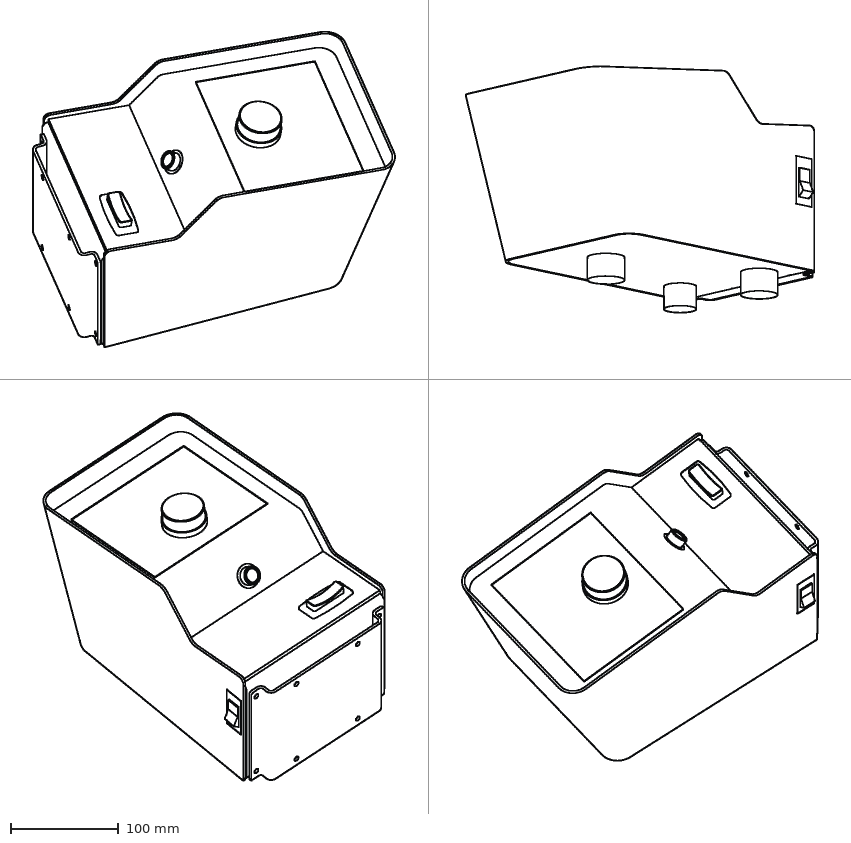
import cadquery as cq
import math


top_slope = math.radians(7.4)
step_slope = math.radians(46.8)
back_lean = math.radians(18.9)

shell_width = 176.0
sheet = 2.5
shell_bottom_depth = 238.5
shell_back_top_z = 215.5
back_corner_radius = 18.2
shell_valley_y, shell_valley_z = 71.0, 128.7
shell_fold_y = 112.5
shell_fold_radius = 10.0
shell_front_radius = 5.5

inner_width = shell_width - 2 * sheet
chassis_front_y = -2.2
chassis_valley_y, chassis_valley_z = 83.0, 121.5
chassis_fold_y = 113.3
chassis_fold_radius = 6.8
lip_height = 4.0
front_bend_radius = 6.0

screen_width = 140.0
screen_front_y, screen_back_y = 143.0, 259.8
screen_depth = 1.0
knob_y = 180.5
collar_radius, collar_height = 21.2, 5.2
knob_radius, knob_height = 20.0, 18.5
knob_edge = 1.0

button_x, button_y = 4.0, 96.5
button_flange_radius, button_flange_height = 11.5, 0.3
button_radius, button_height = 8.5, 8.5
button_chamfer = 0.5
button_dish_radius, button_dish_depth = 6.5, 1.2

bezel_x, bezel_y = 41.5, 30.0
bezel_length, bezel_end_width, bezel_mid_width = 50.5, 21.5, 25.2
bezel_height = 2.5
bezel_corner_radius = 2.5
bezel_edge_radius = 2.0
rocker_offset = -0.5
rocker_length, rocker_width = 37.5, 12.3
rocker_end_height, rocker_mid_height = 10.0, 5.5
rocker_corner_radius = 2.2
rocker_edge = 0.5

window_y, window_width = 13.2, 19.7
window_bottom_z, window_top_z = 60.0, 105.5
window_recess = 0.3
lever_width = 13.0
lever_bottom_z, lever_tip_z, lever_bend_z, lever_top_z = 67.5, 72.5, 82.2, 94.8
lever_rest, lever_reach = 1.0, 5.5

foot_height = 21.5
foot_places = [(-47.7, 32.3, 17.2), (46.2, 44.0, 15.0), (5.2, 178.2, 17.2)]

bracket_x = 0.3
bracket_sheet = 2.8
bracket_height = 118.5
bracket_front_y = -18.2
bracket_half_width = 82.8
bracket_leg_x = 70.5
web_bend_radius = 6.2
flange_bend_radius = 2.8
flange_corner_radius = 3.0
hole_diameter = 5.0
hole_low_z, hole_high_z = 8.5, 110.2
flange_hole_x, web_hole_x = 76.5, 38.2


def back_y(z, wall=0.0):
    """Y of the leaning back at height z, moved inwards by the wall thickness."""
    return shell_bottom_depth - wall / math.cos(back_lean) + z * math.tan(back_lean)


def lower_panel_z(y):
    return chassis_valley_z + (chassis_valley_y - y) * math.tan(top_slope)


def step_panel_z(y):
    return chassis_valley_z + (y - chassis_valley_y) * math.tan(step_slope)


def upper_panel_z(y):
    return step_panel_z(chassis_fold_y) - (y - chassis_fold_y) * math.tan(top_slope)


def panel_workplane(x, y, z, normal_angle):
    """Workplane on a panel whose normal leans back by normal_angle from vertical."""
    normal = (0, math.sin(normal_angle), math.cos(normal_angle))
    return cq.Workplane(cq.Plane(origin=(x, y, z), xDir=(1, 0, 0), normal=normal))


def side_prism(outline, width):
    return outline.close().extrude(width / 2, both=True)


def round_edge(body, y, z, radius):
    """Fillet the edge along X nearest to the given point."""
    return body.edges(cq.selectors.NearestToPointSelector((0, y, z))).fillet(radius)


def make_interior():
    """Space inside the shell, open at the front, top and bottom."""
    beyond = 30.8
    outline = cq.Workplane("YZ").polyline([
        (-beyond, -beyond),
        (back_y(-beyond, sheet), -beyond),
        (back_y(shell_back_top_z, sheet), shell_back_top_z),
        (-beyond, shell_back_top_z),
    ])
    prism = side_prism(outline, inner_width)
    return prism.faces(">Y").edges("not |X").fillet(back_corner_radius - sheet)


def switch_window(inset):
    """Block filling the window in the left wall, its outer face set in by inset."""
    height = window_top_z - window_bottom_z
    block = cq.Workplane("XY").box(sheet - inset, window_width, height, centered=(False, True, False))
    return block.translate((-shell_width / 2 + inset, window_y, window_bottom_z))


def make_shell(interior):
    tan_top = math.tan(top_slope)
    front_z = shell_valley_z + shell_valley_y * tan_top
    fold_z = shell_valley_z + (shell_fold_y - shell_valley_y) * math.tan(step_slope)
    back_z = (fold_z - (back_y(0) - shell_fold_y) * tan_top) / (1 + math.tan(back_lean) * tan_top)
    outline = cq.Workplane("YZ").polyline([
        (0, 0),
        (back_y(0), 0),
        (back_y(back_z), back_z),
        (shell_fold_y, fold_z),
        (shell_valley_y, shell_valley_z),
        (0, front_z),
    ])
    body = side_prism(outline, shell_width)
    body = round_edge(body, 0, front_z, shell_front_radius)
    body = round_edge(body, shell_valley_y, shell_valley_z, shell_fold_radius)
    body = round_edge(body, shell_fold_y, fold_z, shell_fold_radius)
    body = body.faces(">Y").edges("not |X").fillet(back_corner_radius)
    return body.cut(interior).cut(switch_window(0))


def make_case(interior):
    """Main block of the chassis, with its stepped top and rounded front."""
    bend_y = chassis_front_y + front_bend_radius
    lip_y = bend_y + lip_height * math.sin(top_slope)
    lip_z = lower_panel_z(lip_y)
    bend_top_z = lip_z - lip_height * math.cos(top_slope)
    back_z = upper_panel_z(back_y(shell_back_top_z))
    diagonal = front_bend_radius * math.sqrt(0.5)
    outline = (
        cq.Workplane("YZ")
        .moveTo(bend_y, 0)
        .lineTo(back_y(0), 0)
        .lineTo(back_y(shell_back_top_z), back_z)
        .lineTo(chassis_fold_y, step_panel_z(chassis_fold_y))
        .lineTo(chassis_valley_y, chassis_valley_z)
        .lineTo(lip_y, lip_z)
        .lineTo(bend_y, bend_top_z)
        .threePointArc(
            (bend_y - diagonal, bend_top_z - front_bend_radius + diagonal),
            (chassis_front_y, bend_top_z - front_bend_radius),
        )
        .lineTo(chassis_front_y, front_bend_radius)
        .threePointArc((bend_y - diagonal, front_bend_radius - diagonal), (bend_y, 0))
    )
    body = side_prism(outline, inner_width)
    body = round_edge(body, chassis_fold_y, step_panel_z(chassis_fold_y), chassis_fold_radius)
    return body.intersect(interior)


def screen_recess():
    middle_y = (screen_front_y + screen_back_y) / 2
    length = (screen_back_y - screen_front_y) / math.cos(top_slope)
    plane = panel_workplane(0, middle_y, upper_panel_z(middle_y), top_slope)
    return plane.rect(screen_width, length).extrude(-screen_depth)


def make_knob():
    plane = panel_workplane(0, knob_y, upper_panel_z(knob_y), top_slope)
    base = plane.workplane(offset=-screen_depth)
    collar = base.circle(collar_radius).extrude(collar_height + screen_depth)
    grip = base.circle(knob_radius).extrude(knob_height + screen_depth)
    return collar.union(grip.faces(">Z").edges().chamfer(knob_edge))


def make_button():
    plane = panel_workplane(button_x, button_y, step_panel_z(button_y), -step_slope)
    flange = plane.circle(button_flange_radius).extrude(button_flange_height)
    cap = plane.circle(button_radius).extrude(button_height)
    cap = cap.faces(cq.selectors.DirectionMinMaxSelector(plane.plane.zDir)).edges().chamfer(button_chamfer)
    dish = plane.workplane(offset=button_height).circle(button_dish_radius).extrude(-button_dish_depth)
    return flange.union(cap.cut(dish))


def make_bezel(plane):
    """Low frame with bowed long sides and a rounded top edge."""
    upwards = plane.plane.zDir
    half = bezel_length / 2
    end = bezel_end_width / 2
    mid = bezel_mid_width / 2
    body = (
        plane.moveTo(-half, -end)
        .threePointArc((0, -mid), (half, -end))
        .lineTo(half, end)
        .threePointArc((0, mid), (-half, end))
        .close()
        .extrude(bezel_height)
    )
    body = body.edges(cq.selectors.ParallelDirSelector(upwards)).fillet(bezel_corner_radius)
    top = body.faces(cq.selectors.DirectionMinMaxSelector(upwards))
    return top.edges().fillet(bezel_edge_radius)


def make_rocker(plane):
    """Rocker with a hollowed top; its outline has x along its length and y up from the panel."""
    upwards = plane.plane.zDir
    origin = plane.plane.toWorldCoords((rocker_offset, 0, 0))
    half = rocker_length / 2
    body = (
        cq.Workplane(cq.Plane(origin, plane.plane.xDir, -plane.plane.yDir))
        .moveTo(-half, 0)
        .lineTo(half, 0)
        .lineTo(half, rocker_end_height)
        .threePointArc((0, rocker_mid_height), (-half, rocker_end_height))
        .close()
        .extrude(rocker_width / 2, both=True)
    )
    body = body.edges(cq.selectors.ParallelDirSelector(upwards)).fillet(rocker_corner_radius)
    curved_faces = body.faces("not %PLANE")
    return curved_faces.faces(cq.selectors.DirectionMinMaxSelector(upwards)).edges().chamfer(rocker_edge)


def make_rocker_switch():
    plane = panel_workplane(bezel_x, bezel_y, lower_panel_z(bezel_y), top_slope)
    return make_bezel(plane).union(make_rocker(plane))


def make_lever_switch():
    plate_x = -shell_width / 2 + window_recess
    wall_x = -shell_width / 2
    lever = (
        cq.Workplane("XZ", origin=(0, window_y, 0))
        .polyline([
            (plate_x, lever_bottom_z),
            (wall_x - lever_reach, lever_tip_z),
            (wall_x - lever_rest, lever_bend_z),
            (wall_x - lever_rest, lever_top_z),
            (plate_x, lever_top_z),
        ])
        .close()
        .extrude(lever_width / 2, both=True)
    )
    return switch_window(window_recess).union(lever)


def make_foot(x, y, radius):
    return cq.Workplane("XY").center(x, y).circle(radius).extrude(-foot_height)


def make_chassis(interior):
    body = make_case(interior).cut(screen_recess())
    body = body.union(make_knob()).union(make_button())
    body = body.union(make_rocker_switch()).union(make_lever_switch())
    for x, y, radius in foot_places:
        body = body.union(make_foot(x, y, radius))
    return body


def make_bracket():
    flange_front_y = chassis_front_y - bracket_sheet
    web_back_y = bracket_front_y + bracket_sheet
    leg_inner_x = bracket_leg_x - bracket_sheet
    web_inner_radius = web_bend_radius - bracket_sheet
    flange_back_radius = flange_bend_radius + bracket_sheet
    flange_bend_x = bracket_leg_x + flange_bend_radius
    web_bend_x = bracket_leg_x - web_bend_radius
    body = (
        cq.Workplane("XY")
        .moveTo(0, bracket_front_y)
        .lineTo(web_bend_x, bracket_front_y)
        .radiusArc((bracket_leg_x, bracket_front_y + web_bend_radius), -web_bend_radius)
        .lineTo(bracket_leg_x, flange_front_y - flange_bend_radius)
        .radiusArc((flange_bend_x, flange_front_y), flange_bend_radius)
        .lineTo(bracket_half_width, flange_front_y)
        .lineTo(bracket_half_width, chassis_front_y)
        .lineTo(flange_bend_x, chassis_front_y)
        .radiusArc((leg_inner_x, chassis_front_y - flange_back_radius), -flange_back_radius)
        .lineTo(leg_inner_x, web_back_y + web_inner_radius)
        .radiusArc((web_bend_x, web_back_y), web_inner_radius)
        .lineTo(0, web_back_y)
        .mirrorY()
        .extrude(bracket_height)
    )
    for side in (-1, 1):
        corner = (side * bracket_half_width, chassis_front_y, bracket_height)
        corner_edge = body.edges("|Y").edges(cq.selectors.NearestToPointSelector(corner))
        body = corner_edge.fillet(flange_corner_radius)
    hole_points = [
        (side * x, z)
        for side in (-1, 1)
        for x in (flange_hole_x, web_hole_x)
        for z in (hole_low_z, hole_high_z)
    ]
    holes = cq.Workplane("XZ").pushPoints(hole_points).circle(hole_diameter / 2).extrude(-bracket_front_y)
    return body.cut(holes).translate((bracket_x, 0, 0))


interior = make_interior()
shell = make_shell(interior)
chassis = make_chassis(interior)
bracket = make_bracket()

result = cq.Compound.makeCompound([shell.val(), chassis.val(), bracket.val()])